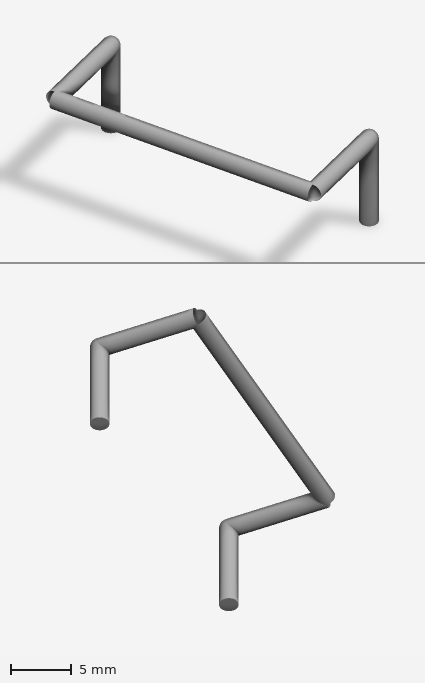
import cadquery as cq

overall_width = 26.63
overall_depth = 10.52
overall_height = 9.2
wire_diameter = 1.62

bar_length = overall_width - wire_diameter
arm_length = overall_depth - wire_diameter
leg_length = overall_height - wire_diameter / 2


def rod(start, direction, length):
    """Round rod with flat ends, running from start along direction."""
    return cq.Workplane(
        cq.Solid.makeCylinder(wire_diameter / 2, length, cq.Vector(*start), cq.Vector(*direction))
    )


bar_start = (-bar_length / 2, 0, leg_length)
result = rod(bar_start, (1, 0, 0), bar_length)

corner_points = []
for side_x in (-bar_length / 2, bar_length / 2):
    arm = rod((side_x, 0, leg_length), (0, 1, 0), arm_length)
    leg = rod((side_x, arm_length, 0), (0, 0, 1), leg_length)
    result = result.union(arm).union(leg)
    corner_points += [(side_x, 0, leg_length), (side_x, arm_length, leg_length)]

for corner in corner_points:
    hollow = cq.Workplane("XY").sphere(wire_diameter / 2).translate(corner)
    result = result.cut(hollow, clean=False)